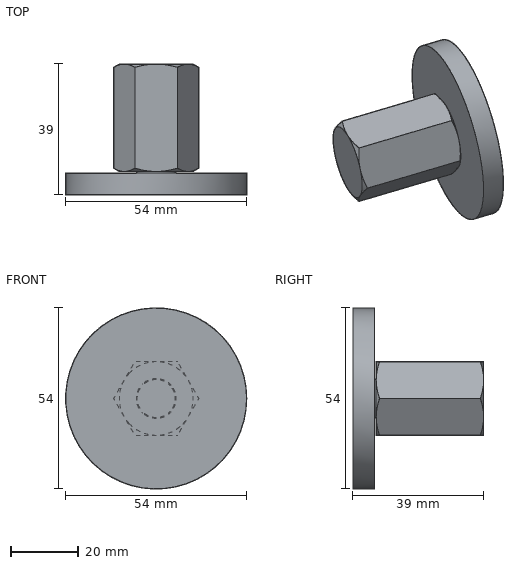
import cadquery as cq
import math

disc_diameter = 54.0
disc_thickness = 6.5
total_depth = 39.0
neck_length = 0.5
neck_disc_diameter = 11.9
neck_nut_diameter = 11.35
nut_across_flats = 22.0
nut_chamfer_angle = 30.0

nut_start = disc_thickness + neck_length
nut_length = total_depth - nut_start
nut_across_corners = nut_across_flats / math.cos(math.radians(30))
corner_radius = nut_across_corners / 2
flat_radius = nut_across_flats / 2
chamfer_depth = (corner_radius - flat_radius) * math.tan(math.radians(nut_chamfer_angle))


def plane_at(y):
    """XZ plane at the given Y, with its normal toward +Y."""
    return cq.Plane(origin=(0, y, 0), xDir=(1, 0, 0), normal=(0, 1, 0))


def revolve_about_y(profile):
    """Revolve a closed outline of (radius, y) points about the Y axis."""
    return cq.Workplane("XY").polyline(profile).close().revolve(360, (0, 0, 0), (0, 1, 0))


def make_disc():
    """Plain round plate."""
    return cq.Workplane(plane_at(0)).circle(disc_diameter / 2).extrude(disc_thickness)


def make_hex_nut():
    """Hexagon with conically chamfered ends and a short tapered neck resting on the disc."""
    hexagon = cq.Workplane(plane_at(nut_start)).polygon(6, nut_across_corners).extrude(nut_length)
    chamfer_envelope = revolve_about_y([
        (0, nut_start),
        (flat_radius, nut_start),
        (corner_radius, nut_start + chamfer_depth),
        (corner_radius, total_depth - chamfer_depth),
        (flat_radius, total_depth),
        (0, total_depth),
    ])
    neck = revolve_about_y([
        (0, disc_thickness),
        (neck_disc_diameter / 2, disc_thickness),
        (neck_nut_diameter / 2, nut_start),
        (0, nut_start),
    ])
    return hexagon.intersect(chamfer_envelope).union(neck)


disc = make_disc()
hex_nut = make_hex_nut()
result = cq.Compound.makeCompound([disc.val(), *hex_nut.solids().vals()])